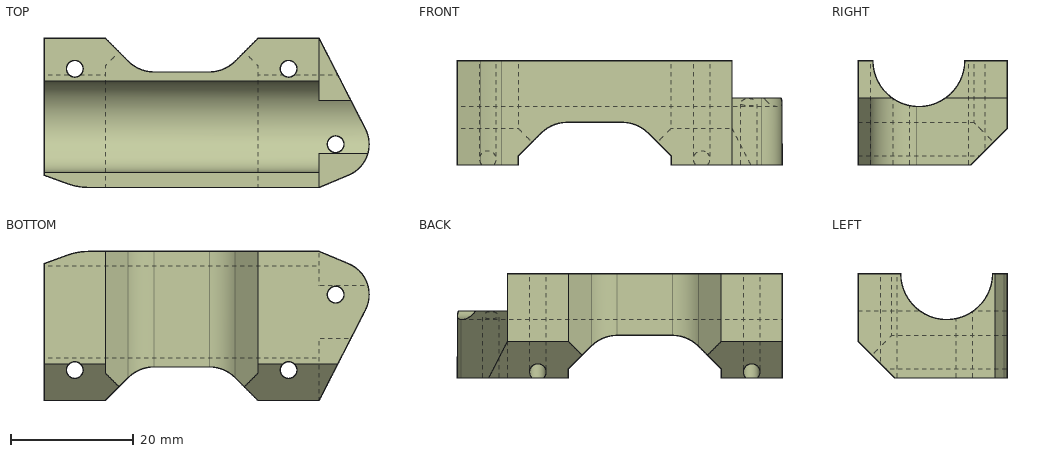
import cadquery as cq
import math


block_length = 45.0
height = 17.11
groove_radius = 7.5
back_wall = 7.0
back_y = groove_radius + back_wall
front_y = -9.95
depth = back_y - front_y
bottom_z = -height
bottom_chamfer = 6.0

taper_angle = math.radians(20)
taper_inset = 2.0
taper_length = taper_inset / math.tan(taper_angle)
taper_blend_radius = 10.0

overall_length = 53.2
tab_height = 11.0
tab_radius = 5.5
tab_x = overall_length - tab_radius
tab_y = -2.85

hole_diameter = 2.7
hole_inset = 5.0

relief_inset = 10.0
relief_blend_radius = 6.0
relief_flank_depth = 5.5
bottom_relief_step = 1.5


def tangent_point(corner, center, radius, side):
    """Point where the line from corner touches the circle; side is +1 (left) or -1 (right)."""
    dx = center[0] - corner[0]
    dy = center[1] - corner[1]
    distance = math.hypot(dx, dy)
    direction = math.atan2(dy, dx) + side * math.asin(radius / distance)
    length = math.sqrt(distance**2 - radius**2)
    return (corner[0] + length * math.cos(direction), corner[1] + length * math.sin(direction))


def make_block():
    outline = [
        (0, front_y + taper_inset),
        (taper_length, front_y),
        (block_length, front_y),
        (block_length, back_y),
        (0, back_y),
    ]
    block = cq.Workplane("XY").workplane(offset=bottom_z).polyline(outline).close().extrude(height)
    taper_edge = cq.selectors.NearestToPointSelector((taper_length, front_y, bottom_z + height / 2))
    return block.edges(taper_edge).fillet(taper_blend_radius)


def make_tab():
    """Tab whose sides run from the block corners tangentially onto a rounded nose."""
    center = (tab_x, tab_y)
    front_corner = (block_length, front_y)
    back_corner = (block_length, back_y)
    return (
        cq.Workplane("XY")
        .workplane(offset=bottom_z)
        .moveTo(*front_corner)
        .lineTo(*tangent_point(front_corner, center, tab_radius, -1))
        .threePointArc(
            (overall_length, tab_y),
            tangent_point(back_corner, center, tab_radius, 1),
        )
        .lineTo(*back_corner)
        .close()
        .extrude(tab_height)
    )


def make_bottom_chamfer():
    """Triangular prism removed along the lower back edge of the block and the tab."""
    return (
        cq.Workplane("YZ")
        .moveTo(back_y, bottom_z)
        .lineTo(back_y, bottom_z + bottom_chamfer)
        .lineTo(back_y - bottom_chamfer, bottom_z)
        .close()
        .extrude(overall_length)
    )


def make_groove():
    return cq.Workplane("YZ").circle(groove_radius).extrude(overall_length)


def make_relief_cutter(step, length):
    """Relief profile entering a face at Z = 0 toward +Z, running from Y = 0 to Y = -length.

    It rises straight for the given step, then narrows along 45 degree flanks to a blended floor.
    """
    start = relief_inset
    end = block_length - relief_inset
    floor = step + relief_flank_depth
    flanks = (
        cq.Workplane("XZ")
        .polyline(
            [
                (start, step),
                (start + relief_flank_depth, floor),
                (end - relief_flank_depth, floor),
                (end, step),
            ]
        )
        .close()
        .extrude(length)
        .faces(">Z")
        .edges("|Y")
        .fillet(relief_blend_radius)
    )
    if step == 0:
        return flanks
    entry = cq.Workplane("XZ").moveTo(start, 0).lineTo(end, 0).lineTo(end, step).lineTo(start, step)
    return flanks.union(entry.close().extrude(length))


def make_back_relief():
    cutter = make_relief_cutter(0, height)
    return cutter.rotate((0, 0, 0), (1, 0, 0), 90).translate((0, back_y, 0))


def make_bottom_relief():
    return make_relief_cutter(bottom_relief_step, depth).translate((0, back_y, bottom_z))


def make_holes():
    centers = [
        (hole_inset, back_y - hole_inset),
        (block_length - hole_inset, back_y - hole_inset),
        (tab_x, tab_y),
    ]
    return (
        cq.Workplane("XY")
        .workplane(offset=bottom_z)
        .pushPoints(centers)
        .circle(hole_diameter / 2)
        .extrude(height)
    )


result = (
    make_block()
    .union(make_tab())
    .cut(make_bottom_chamfer())
    .cut(make_groove())
    .cut(make_back_relief())
    .cut(make_bottom_relief())
    .cut(make_holes())
)